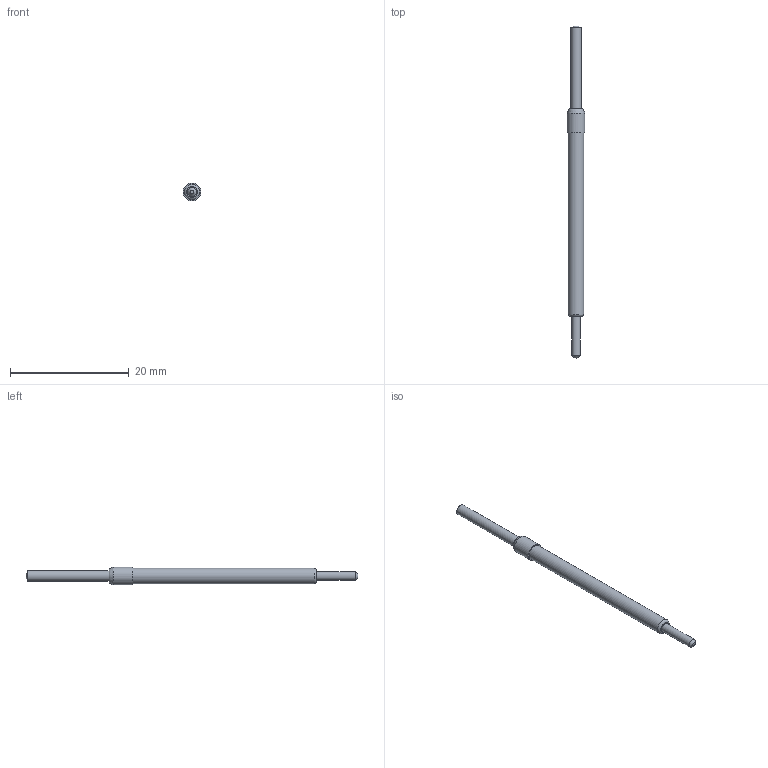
import cadquery as cq

front_pin_diameter = 1.5
body_diameter = 2.6
collar_diameter = 3.0
rear_pin_diameter = 1.8

total_length = 56.0
front_pin_length = 7.0
collar_length = 4.0
rear_pin_length = 14.0
body_length = total_length - front_pin_length - collar_length - rear_pin_length

tip_flat_diameter = 0.6
tip_length = 0.45

body_edge_radius = 0.4

collar_taper_depth = 0.2
collar_taper_length = 0.5
collar_edge_radius = 0.2

rear_flat_diameter = 0.6
rear_cone_length = 0.3

collar_rear_y = 0.0
taper_rear_y = collar_rear_y - collar_edge_radius
taper_front_y = taper_rear_y - collar_taper_length
collar_front_y = collar_rear_y - collar_length
body_front_y = collar_front_y - body_length
tip_y = body_front_y - front_pin_length
rear_end_y = collar_rear_y + rear_pin_length

front_pin_radius = front_pin_diameter / 2
body_radius = body_diameter / 2
collar_radius = collar_diameter / 2
taper_rear_radius = collar_radius - collar_taper_depth
rear_pin_radius = rear_pin_diameter / 2
tip_flat_radius = tip_flat_diameter / 2
rear_flat_radius = rear_flat_diameter / 2


def make_pin():
    """Revolve the half outline, drawn as (Y, radius), about the Y axis."""
    outline = (
        cq.Workplane("YZ")
        .moveTo(tip_y, 0)
        .lineTo(tip_y, tip_flat_radius)
        .lineTo(tip_y + tip_length, front_pin_radius)
        .lineTo(body_front_y, front_pin_radius)
        .lineTo(body_front_y, body_radius - body_edge_radius)
        .tangentArcPoint((body_front_y + body_edge_radius, body_radius), relative=False)
        .lineTo(collar_front_y, body_radius)
        .lineTo(collar_front_y, collar_radius)
        .lineTo(taper_front_y, collar_radius)
        .lineTo(taper_rear_y, taper_rear_radius)
        .radiusArc((collar_rear_y, taper_rear_radius - collar_edge_radius), collar_edge_radius)
        .lineTo(collar_rear_y, rear_pin_radius)
        .lineTo(rear_end_y - rear_cone_length, rear_pin_radius)
        .lineTo(rear_end_y, rear_flat_radius)
        .lineTo(rear_end_y, 0)
        .close()
    )
    return outline.revolve(360, (0, 0, 0), (1, 0, 0))


result = make_pin()